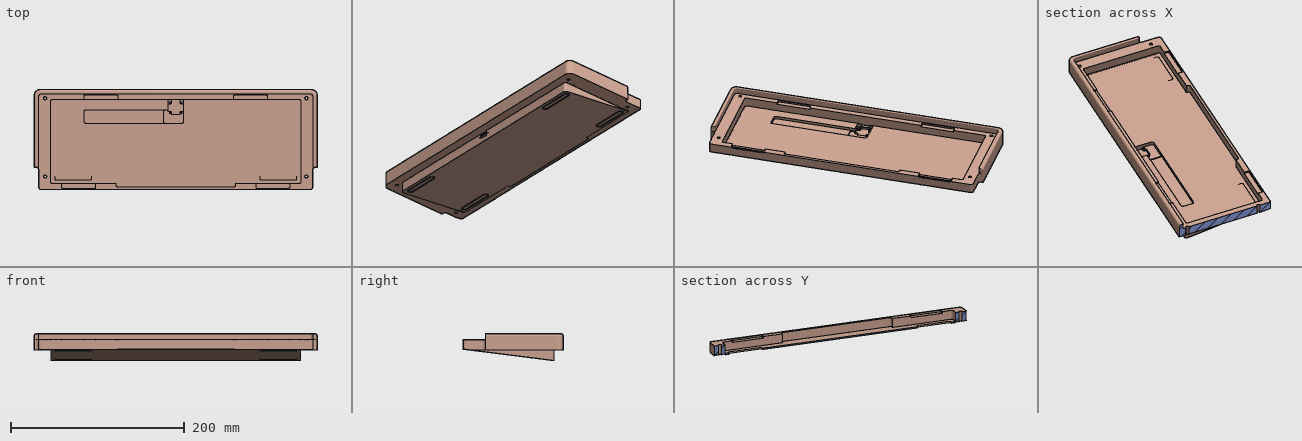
import cadquery as cq
import math


LENGTH = 325.7
DEPTH = 115.3
HEIGHT = 31.3
WEDGE_DROP = 12.0
RIM_HEIGHT = HEIGHT - WEDGE_DROP
RIM_WALL = 5.2
RIM_FRONT_Y = 25.7
RIM_CORNER_RADIUS = 7.2
RIM_TOP_FILLET = 3.3
RIM_EDGE_FILLET = 0.5
RIM_END_FILLET = 1.5
RIM_ROOT_FILLET = 3.0
PLATE_THICKNESS = 12.0
PLATE_CORNER_RADIUS = 3.3
PLATE_LENGTH = LENGTH - 2 * RIM_WALL

POCKET_LENGTH = 288.0
POCKET_FRONT_Y = 7.2
POCKET_REAR_Y = 103.5
POCKET_CORNER_RADIUS = 2.0
FLOOR_Z = 1.3
FRONT_NOTCH_LENGTH = 137.5
FRONT_NOTCH_Y = 3.3

WEDGE_LENGTH = 287.3
WEDGE_REAR_Y = 104.5
WEDGE_CORNER_RADIUS = 3.0
SLOPE_START_Y = 8.8
SLOPE = WEDGE_DROP / (WEDGE_REAR_Y - SLOPE_START_Y)

RAIL_RECESS_LENGTH = 39.0
RAIL_RECESS_DEPTH = 2.0
RAIL_RECESS_RADIUS = 2.0
REAR_RECESS_X = 86.0
REAR_RECESS_Y = 109.0
FRONT_RECESS_X = 111.7
FRONT_RECESS_Y = 1.3

SCREW_DIAMETER = 3.3
SCREW_X = 150.0
SCREW_FRONT_Y = 15.3
SCREW_REAR_Y = 105.2

CHANNEL_LEFT_X = -105.5
CHANNEL_FRONT_Y = 76.2
CHANNEL_REAR_Y = 92.0
CHANNEL_DEPTH = 3.3
CHANNEL_RADIUS = 2.5
BAY_LEFT_X = -14.3
BAY_DEPTH = 4.2
BOARD_LENGTH = 18.2
BOARD_CORNER_RADIUS = 2.0
BOARD_FRONT_Y = 86.5
BOARD_DEPTH = 6.5
POST_DIAMETER = 3.3
POST_HOLE_DIAMETER = 1.6
POST_HOLE_DEPTH = 2.0
POST_X = 6.5
POST_FRONT_Y = 88.5
POST_REAR_Y = 100.3
PORT_LENGTH = 9.0

FOOT_LENGTH = 42.5
FOOT_WIDTH = 6.5
FOOT_DEPTH = 1.0
FOOT_RADIUS = 2.0
FOOT_X = 118.0
FOOT_FRONT_Y = 14.3
FOOT_REAR_Y = 96.5


def block(x0, x1, y0, y1, z0, z1):
    """Box between two opposite corners."""
    size = (x1 - x0, y1 - y0, z1 - z0)
    return cq.Workplane("XY").box(*size, centered=False).translate((x0, y0, z0))


def rounded_block(x0, x1, y0, y1, z0, z1, radius):
    """Box with its four upright edges rounded."""
    return block(x0, x1, y0, y1, z0, z1).edges("|Z").fillet(radius)


def make_rim_and_plate():
    half = LENGTH / 2
    plate_half = PLATE_LENGTH / 2
    inner_rear_y = DEPTH - RIM_WALL
    outer = block(-half, half, RIM_FRONT_Y, DEPTH, 0, RIM_HEIGHT)
    outer = outer.edges("|Z and >Y").fillet(RIM_CORNER_RADIUS)
    outer = outer.faces(">Z").edges("not <Y").fillet(RIM_TOP_FILLET)
    outer = outer.faces("<Y").edges("not <Z").fillet(RIM_EDGE_FILLET)
    plate = block(-plate_half, plate_half, 0, inner_rear_y, 0, PLATE_THICKNESS)
    plate = plate.edges("|Z and <Y").fillet(PLATE_CORNER_RADIUS)
    opening = block(-plate_half, plate_half, 0, inner_rear_y, PLATE_THICKNESS, RIM_HEIGHT)
    opening = opening.edges("|Z and >Y").fillet(PLATE_CORNER_RADIUS)
    rim = outer.cut(opening)
    around_opening = cq.selectors.BoxSelector(
        (-plate_half - RIM_EDGE_FILLET, RIM_FRONT_Y + RIM_EDGE_FILLET, RIM_HEIGHT - RIM_EDGE_FILLET),
        (plate_half + RIM_EDGE_FILLET, inner_rear_y + RIM_EDGE_FILLET, RIM_HEIGHT + RIM_EDGE_FILLET),
    )
    body = rim.edges(around_opening).fillet(RIM_EDGE_FILLET).union(plate)
    for side in (-1, 1):
        body = body.union(make_rim_root(side)).cut(make_rim_end_rounding(side))
    return body


def corner_sliver(x, y, x_step, y_step, z0, z1):
    """Concave triangle between a square corner and the arc tangent to both of its sides."""
    arc_share = 1 - math.sqrt(0.5)
    return (
        cq.Workplane("XY", origin=(0, 0, z0))
        .moveTo(x, y)
        .lineTo(x + x_step, y)
        .threePointArc((x + x_step * arc_share, y + y_step * arc_share), (x, y + y_step))
        .close()
        .extrude(z1 - z0)
    )


def make_rim_root(side):
    """Fillet between the front end of the rim and the side of the plate."""
    x = side * PLATE_LENGTH / 2
    return corner_sliver(x, RIM_FRONT_Y, side * RIM_ROOT_FILLET, -RIM_ROOT_FILLET, 0, PLATE_THICKNESS)


def make_rim_end_rounding(side):
    """Material removed to round the inner front edge of the rim above the plate."""
    x = side * PLATE_LENGTH / 2
    return corner_sliver(
        x, RIM_FRONT_Y, side * RIM_END_FILLET, RIM_END_FILLET, PLATE_THICKNESS, RIM_HEIGHT
    )


def make_wedge():
    half = WEDGE_LENGTH / 2
    wedge = block(-half, half, SLOPE_START_Y, WEDGE_REAR_Y, -WEDGE_DROP, 0)
    return wedge.edges("|Z and >Y").fillet(WEDGE_CORNER_RADIUS)


def slope_z(y):
    return SLOPE * (SLOPE_START_Y - y)


def make_below_slope():
    """Everything under the sloping plane, which also trims the front edge of the plate."""
    return (
        cq.Workplane("YZ", origin=(-LENGTH, 0, 0))
        .moveTo(0, slope_z(0))
        .lineTo(DEPTH, slope_z(DEPTH))
        .lineTo(DEPTH, -HEIGHT)
        .lineTo(0, -HEIGHT)
        .close()
        .extrude(2 * LENGTH)
    )


def make_pocket():
    half = POCKET_LENGTH / 2
    notch_half = FRONT_NOTCH_LENGTH / 2
    pocket = rounded_block(
        -half, half, POCKET_FRONT_Y, POCKET_REAR_Y, FLOOR_Z, PLATE_THICKNESS, POCKET_CORNER_RADIUS
    )
    notch_rear_y = POCKET_FRONT_Y + 2 * POCKET_CORNER_RADIUS
    notch = block(-notch_half, notch_half, FRONT_NOTCH_Y, notch_rear_y, FLOOR_Z, PLATE_THICKNESS)
    return pocket.union(notch.edges("|Z and <Y").fillet(POCKET_CORNER_RADIUS))


def make_rail_recesses():
    z0 = PLATE_THICKNESS - RAIL_RECESS_DEPTH
    half = RAIL_RECESS_LENGTH / 2
    recesses = cq.Workplane("XY")
    for side in (-1, 1):
        x = side * REAR_RECESS_X
        rear = block(x - half, x + half, POCKET_REAR_Y, REAR_RECESS_Y, z0, PLATE_THICKNESS)
        recesses = recesses.add(rear.edges("|Z and >Y").fillet(RAIL_RECESS_RADIUS))
        x = side * FRONT_RECESS_X
        front = block(x - half, x + half, FRONT_RECESS_Y, POCKET_FRONT_Y, z0, PLATE_THICKNESS)
        recesses = recesses.add(front.edges("|Z and <Y").fillet(RAIL_RECESS_RADIUS))
    return recesses.combine()


def make_screw_holes():
    centres = [(side * SCREW_X, y) for side in (-1, 1) for y in (SCREW_FRONT_Y, SCREW_REAR_Y)]
    return cq.Workplane("XY").pushPoints(centres).circle(SCREW_DIAMETER / 2).extrude(PLATE_THICKNESS)


def make_corner_post(side, wall_y, post_y, z0, z1):
    """Post filling a corner of the board seat, rounded around its screw hole."""
    radius = POST_DIAMETER / 2
    inward = 1 if post_y > wall_y else -1
    x0, x1 = sorted((side * BOARD_LENGTH / 2, side * (POST_X - radius)))
    y0, y1 = sorted((wall_y, post_y + inward * radius))
    inner_side = "<X" if side > 0 else ">X"
    inner_end = ">Y" if inward > 0 else "<Y"
    return block(x0, x1, y0, y1, z0, z1).edges("|Z").edges(inner_side).edges(inner_end).fillet(radius)


def make_connector_bay():
    """Channel, deeper bay at its right end, board seat with four posts, and port through the back."""
    right_x = BOARD_LENGTH / 2
    bay_z = FLOOR_Z - BAY_DEPTH
    board_z = FLOOR_Z - BOARD_DEPTH
    channel = rounded_block(
        CHANNEL_LEFT_X, right_x, CHANNEL_FRONT_Y, CHANNEL_REAR_Y,
        FLOOR_Z - CHANNEL_DEPTH, FLOOR_Z, CHANNEL_RADIUS,
    )
    bay = rounded_block(
        BAY_LEFT_X, right_x, CHANNEL_FRONT_Y, CHANNEL_REAR_Y, bay_z, FLOOR_Z, CHANNEL_RADIUS
    )
    seat = block(-right_x, right_x, BOARD_FRONT_Y, POCKET_REAR_Y, board_z, FLOOR_Z)
    seat = seat.edges("|Z and >Y").fillet(BOARD_CORNER_RADIUS)

    posts = cq.Workplane("XY")
    for side in (-1, 1):
        for wall_y, post_y in ((BOARD_FRONT_Y, POST_FRONT_Y), (POCKET_REAR_Y, POST_REAR_Y)):
            posts = posts.add(make_corner_post(side, wall_y, post_y, board_z, bay_z))
    centres = [(side * POST_X, y) for side in (-1, 1) for y in (POST_FRONT_Y, POST_REAR_Y)]
    hole_plane = cq.Workplane("XY", origin=(0, 0, bay_z)).pushPoints(centres)
    holes = hole_plane.circle(POST_HOLE_DIAMETER / 2).extrude(-POST_HOLE_DEPTH)

    port_half = PORT_LENGTH / 2
    port = block(-port_half, port_half, POST_REAR_Y, WEDGE_REAR_Y, bay_z, 0)
    return channel.union(bay).union(seat).cut(posts.combine()).union(holes).union(port)


def make_foot_recesses():
    """Rounded rectangles sunk square to the sloping underside."""
    tilt = math.degrees(math.atan(SLOPE))
    feet = cq.Workplane("XY")
    for x in (-FOOT_X, FOOT_X):
        for y in (FOOT_FRONT_Y, FOOT_REAR_Y):
            foot = cq.Workplane("XY").box(FOOT_LENGTH, FOOT_WIDTH, 2 * FOOT_DEPTH)
            foot = foot.edges("|Z").fillet(FOOT_RADIUS)
            foot = foot.rotate((0, 0, 0), (1, 0, 0), -tilt)
            feet = feet.add(foot.translate((x, y, slope_z(y))))
    return feet.combine()


result = make_rim_and_plate().union(make_wedge()).cut(make_below_slope())
result = result.cut(make_pocket()).cut(make_rail_recesses()).cut(make_screw_holes())
result = result.cut(make_connector_bay()).cut(make_foot_recesses())